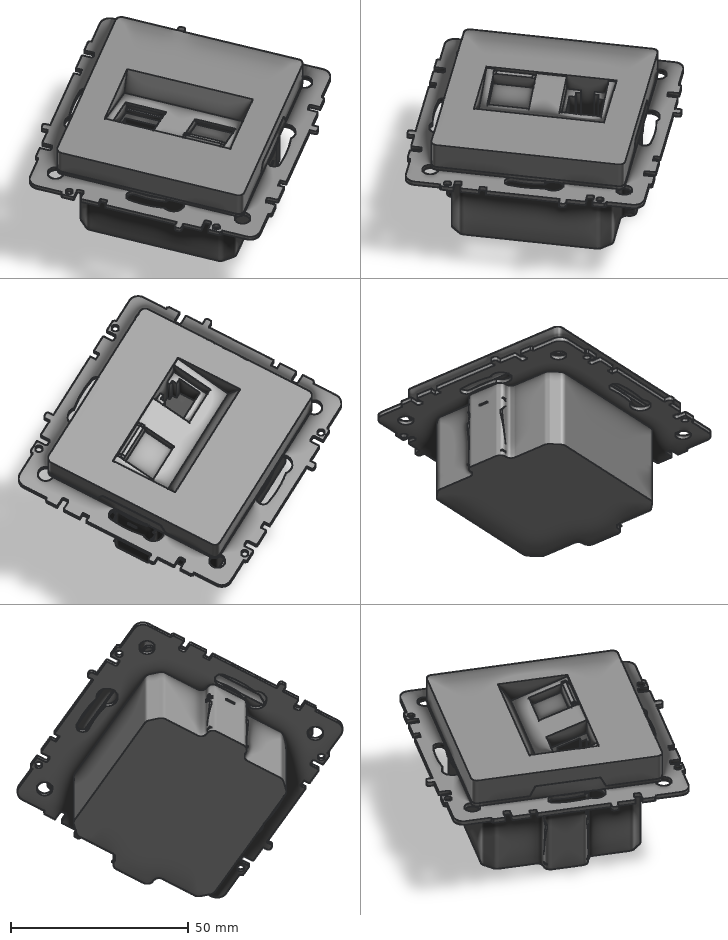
import cadquery as cq
import math

total_height = 34.0
overlap = 0.75

plate_bottom = 23.95
plate_thickness = 1.3
plate_top = plate_bottom + plate_thickness
plate_reach = 35.1
corner_reach = 34.2
corner_radius = 3.0
plate_span = 74.4
lug_outer = 23.9
lug_chamfer = 0.45
deep_notch_centre = 19.0
deep_notch_floor = 31.9
deep_notch_radius = 0.5
notch_width = 2.0
middle_edge_radius = 0.4
tab_centre = 11.6
tab_width = 2.0
tab_tip_radius = 0.7
shallow_notch_floor = 33.3
fixing_hole_diameter = 4.5
fixing_hole_reach = 27.8
small_hole_diameter = 2.1
small_hole_along = 21.9
small_hole_reach = 33.4

slot_inner_radius = 28.0
slot_outer_radius = 31.6
slot_tip_x = 4.3
lobe_radius = 3.0
lobe_x = -7.7
lobe_y = 28.7

cover_width = 55.6
cover_radius = 1.7
cover_bottom = 26.3
frame_inset = 0.1
tongue_top = 29.4
tongue_base_width = 22.2
tongue_top_width = 18.9

recess_width = 37.35
recess_floor_width = 36.6
recess_front = -11.2
recess_back = 9.0
recess_deep_y = 5.3
recess_depth = 5.95
recess_front_depth = 0.5
floor_slope = (recess_depth - recess_front_depth) / (recess_deep_y - recess_front)

opening_width = 12.0
opening_centre = 10.35
opening_back = 0.5
undercut = 0.75
undercut_drop = 1.8
wall_drop = 1.2
jack_drop = 1.35
port_centre = -10.5
port_back = -2.3
port_floor_z = 19.35
port_steps = ((10.0, -8.9), (6.55, -10.35), (3.9, recess_front))
bar_back = -8.9
bar_front = -10.05
bar_width = 10.4
bar_rise = 0.7
bar_proud = 0.15
lip_drop = 1.0

box_size = 46.4
box_corner_chamfer = 3.35
box_corner_blend = 2.15
bulge_reach = 27.15
bulge_half_width = 6.4
bulge_radius = 1.9
bulge_root_radius = 1.85

claw_root_x = 23.1
claw_arm = [(claw_root_x, 3.7), (25.15, 3.7), (26.7, 14.1), (26.7, 15.0), (25.4, 16.6), (claw_root_x, 16.6)]
claw_foot = [(claw_root_x, 1.0), (24.9, 1.0), (25.45, 1.55), (26.6, 1.55), (26.6, 1.7), (claw_root_x, 1.7)]
claw_neck = [(claw_root_x, 18.15), (25.0, 18.15), (25.9, 19.0), (26.35, 19.0), (26.35, 19.1), (claw_root_x, 19.1)]
claw_tip_reach = 27.45
claw_tip_width = 2.8
claw_tip_z = 19.1
claw_tip_thickness = 0.2

window_centre_y = -bulge_half_width
window_width = 1.8
window_inner_x = 24.6
window_bottom = 17.0
window_height = 1.1
window_depth = 0.15


def block(x_min, x_max, y_min, y_max, z_min, z_max):
    """Axis-aligned box between the given limits."""
    return cq.Workplane("XY").box(x_max - x_min, y_max - y_min, z_max - z_min, centered=False).translate(
        (x_min, y_min, z_min)
    )


def plate_block(x_centre, width, y_min, y_max):
    """Box through the plate thickness, centred at x_centre."""
    return block(x_centre - width / 2, x_centre + width / 2, y_min, y_max, plate_bottom, plate_top)


def extrude_along_x(points, x_centre, width):
    """Prism with a YZ profile, centred at x_centre."""
    prism = cq.Workplane("YZ").polyline(points).close().extrude(width / 2, both=True)
    return prism.translate((x_centre, 0, 0))


def all_sides(shape):
    """Four copies of a shape turned by quarter turns about Z."""
    copies = shape
    for turn in (90, 180, 270):
        copies = copies.union(shape.rotate((0, 0, 0), (0, 0, 1), turn))
    return copies


def recess_floor_z(y):
    """Height of the sloped recess floor at a given Y."""
    return total_height - recess_front_depth - floor_slope * (y - recess_front)


def side_additions():
    """Raised middle stretch, corner lugs and tab of the +Y side."""
    middle_width = 2 * deep_notch_centre - notch_width
    middle = plate_block(0, middle_width, deep_notch_floor - overlap, plate_reach)
    added = middle.edges("|Z and >Y").fillet(middle_edge_radius)
    lug_width = lug_outer - deep_notch_centre - notch_width / 2
    for side in (-1, 1):
        lug_centre = side * (lug_outer - lug_width / 2)
        lug = plate_block(lug_centre, lug_width, deep_notch_floor - overlap, plate_reach)
        outer_edge = "|Z and >Y and >X" if side > 0 else "|Z and >Y and <X"
        added = added.union(lug.edges(outer_edge).chamfer(lug_chamfer))
    tab = plate_block(-tab_centre, tab_width, plate_reach - overlap, plate_span / 2)
    return added.union(tab.edges("|Z and >Y").fillet(tab_tip_radius))


def curved_slot():
    """Slot that follows an arc about the centre, with a round lobe at its left end."""
    middle_radius = (slot_inner_radius + slot_outer_radius) / 2
    tip_angle = math.asin(slot_tip_x / middle_radius)
    lobe_angle = math.atan2(lobe_x, lobe_y)

    def polar(radius, angle):
        return (radius * math.sin(angle), radius * math.cos(angle))

    tip_round = (slot_outer_radius - slot_inner_radius) / 2
    tip_end = (
        middle_radius * math.sin(tip_angle) + tip_round * math.cos(tip_angle),
        middle_radius * math.cos(tip_angle) - tip_round * math.sin(tip_angle),
    )
    plane = cq.Workplane("XY").workplane(offset=plate_bottom)
    arc = (
        plane.moveTo(*polar(slot_inner_radius, lobe_angle))
        .threePointArc((0, slot_inner_radius), polar(slot_inner_radius, tip_angle))
        .threePointArc(tip_end, polar(slot_outer_radius, tip_angle))
        .threePointArc((0, slot_outer_radius), polar(slot_outer_radius, lobe_angle))
        .close()
        .extrude(plate_thickness)
    )
    lobe = plane.center(lobe_x, lobe_y).circle(lobe_radius).extrude(plate_thickness)
    return arc.union(lobe)


def side_cuts():
    """Notches and slot of the +Y side."""
    cuts = curved_slot()
    for side in (-1, 1):
        notch = plate_block(side * deep_notch_centre, notch_width, deep_notch_floor, plate_span / 2)
        cuts = cuts.union(notch.edges("|Z and <Y").fillet(deep_notch_radius))
    return cuts.union(plate_block(tab_centre, tab_width, shallow_notch_floor, plate_span / 2))


def mounting_plate():
    """Notched plate with four identical sides, corner holes and small holes."""
    plate = plate_block(0, 2 * corner_reach, -corner_reach, corner_reach)
    plate = plate.edges("|Z").fillet(corner_radius)
    plate = plate.union(all_sides(side_additions())).cut(all_sides(side_cuts()))
    plate = (
        plate.faces(">Z")
        .workplane(origin=(0, 0, 0))
        .rect(2 * fixing_hole_reach, 2 * fixing_hole_reach, forConstruction=True)
        .vertices()
        .hole(fixing_hole_diameter)
    )
    return (
        plate.faces(">Z")
        .workplane(origin=(0, 0, 0))
        .rect(2 * small_hole_along, 2 * small_hole_reach, forConstruction=True)
        .vertices()
        .hole(small_hole_diameter)
    )


def cover_with_frame():
    """Square cover on a slightly inset frame, with a tongue-shaped gap on both X sides."""
    cover = block(
        -cover_width / 2, cover_width / 2, -cover_width / 2, cover_width / 2, cover_bottom, total_height
    )
    cover = cover.edges("|Z").fillet(cover_radius)
    tongue_profile = [
        (-tongue_base_width / 2, cover_bottom),
        (tongue_base_width / 2, cover_bottom),
        (tongue_top_width / 2, tongue_top),
        (-tongue_top_width / 2, tongue_top),
    ]
    frame_half = cover_width / 2 - frame_inset
    for side in (-1, 1):
        tongue_gap = extrude_along_x(tongue_profile, side * (frame_half + overlap / 2), overlap)
        cover = cover.cut(tongue_gap)
    frame = block(-frame_half, frame_half, -frame_half, frame_half, plate_top, cover_bottom)
    return cover.union(frame.edges("|Z").fillet(cover_radius - frame_inset))


def recess():
    """Wedge whose floor rises to the front edge, with slightly tapered ends."""
    profile = [
        (recess_front, total_height),
        (recess_back, total_height),
        (recess_deep_y, total_height - recess_depth),
        (recess_front, recess_floor_z(recess_front)),
    ]
    wedge = extrude_along_x(profile, 0, recess_width)
    bottom_z = total_height - recess_depth
    tapered_ends = (
        cq.Workplane("XZ")
        .polyline(
            [
                (-recess_width / 2, total_height),
                (recess_width / 2, total_height),
                (recess_floor_width / 2, bottom_z),
                (-recess_floor_width / 2, bottom_z),
            ]
        )
        .close()
        .extrude(cover_width / 2, both=True)
    )
    return wedge.intersect(tapered_ends)


def opening(x_centre, shelf_drop):
    """Undercut opening whose bottom runs parallel to the recess floor, below a shelf if shelf_drop is set."""
    back_z = recess_floor_z(opening_back)
    undercut_y = opening_back + undercut
    shelf_z = back_z - undercut_drop - wall_drop
    bottom_start = (undercut_y, shelf_z)
    if shelf_drop > 0:
        bottom_start = (opening_back, shelf_z - shelf_drop)
    front_z = bottom_start[1] + floor_slope * (bottom_start[0] - recess_front)
    profile = [(opening_back, back_z), (undercut_y, back_z - undercut_drop), (undercut_y, shelf_z)]
    if shelf_drop > 0:
        profile += [(opening_back, shelf_z), bottom_start]
    profile += [(recess_front, front_z), (recess_front, recess_floor_z(recess_front))]
    return extrude_along_x(profile, x_centre, opening_width)


def modular_port():
    """Stepped plug hole below the left opening."""
    port = None
    for width, front in port_steps:
        step = block(
            port_centre - width / 2, port_centre + width / 2, front, port_back, port_floor_z, total_height
        )
        port = step if port is None else port.union(step)
    return port


def shutter_lip():
    """Lip along the front of the right opening, with a raised bar and a falling front face."""

    def lip(rise, width):
        front_z = recess_floor_z(bar_front) + rise
        profile = [
            (bar_back, cover_bottom),
            (bar_back, recess_floor_z(bar_back) + rise),
            (bar_front, front_z),
            (recess_front, front_z - lip_drop),
            (recess_front, cover_bottom),
        ]
        return extrude_along_x(profile, opening_centre, width)

    return lip(bar_rise, opening_width).union(lip(bar_rise + bar_proud, bar_width))


def box_outline(height):
    """Chamfered and blended box with a rounded bulge on both X sides."""
    box = cq.Workplane("XY").rect(box_size, box_size).extrude(height)
    box = box.edges("|Z").chamfer(box_corner_chamfer).edges("|Z").fillet(box_corner_blend)
    bulge = cq.Workplane("XY").rect(2 * bulge_reach, 2 * bulge_half_width).extrude(height)
    bulge = bulge.edges("|Z").fillet(bulge_radius)
    inner_corners = cq.selectors.BoxSelector(
        (-box_size / 2 - overlap / 2, -bulge_half_width - overlap / 2, -overlap),
        (box_size / 2 + overlap / 2, bulge_half_width + overlap / 2, height + overlap),
    )
    return box.union(bulge).edges("|Z").edges(inner_corners).fillet(bulge_root_radius)


def claw():
    """Claw lying in the +X bulge: sloped arm, foot, neck and tip."""
    shape = block(
        claw_root_x, claw_tip_reach,
        -claw_tip_width / 2, claw_tip_width / 2,
        claw_tip_z - claw_tip_thickness, claw_tip_z,
    )
    for profile in (claw_arm, claw_foot, claw_neck):
        piece = cq.Workplane("XZ").polyline(profile).close().extrude(bulge_half_width, both=True)
        shape = shape.union(piece)
    return shape


def rear_box():
    """Box with shallow windows and claws in both bulges."""
    box = box_outline(plate_bottom)
    core = cq.Workplane(box.faces("<Z").wires().val()).toPending().offset2D(-window_depth)
    core = core.extrude(plate_bottom)
    for side in (-1, 1):
        window = block(
            window_inner_x, bulge_reach,
            window_centre_y - window_width / 2, window_centre_y + window_width / 2,
            window_bottom, window_bottom + window_height,
        )
        side_claw = claw()
        if side < 0:
            window = window.mirror("YZ")
            side_claw = side_claw.mirror("YZ")
        box = box.cut(window.cut(core)).union(side_claw)
    return box


result = cover_with_frame().union(mounting_plate()).union(rear_box())
result = result.cut(recess())
result = result.cut(opening(-opening_centre, jack_drop)).cut(opening(opening_centre, 0))
result = result.cut(modular_port()).union(shutter_lip())